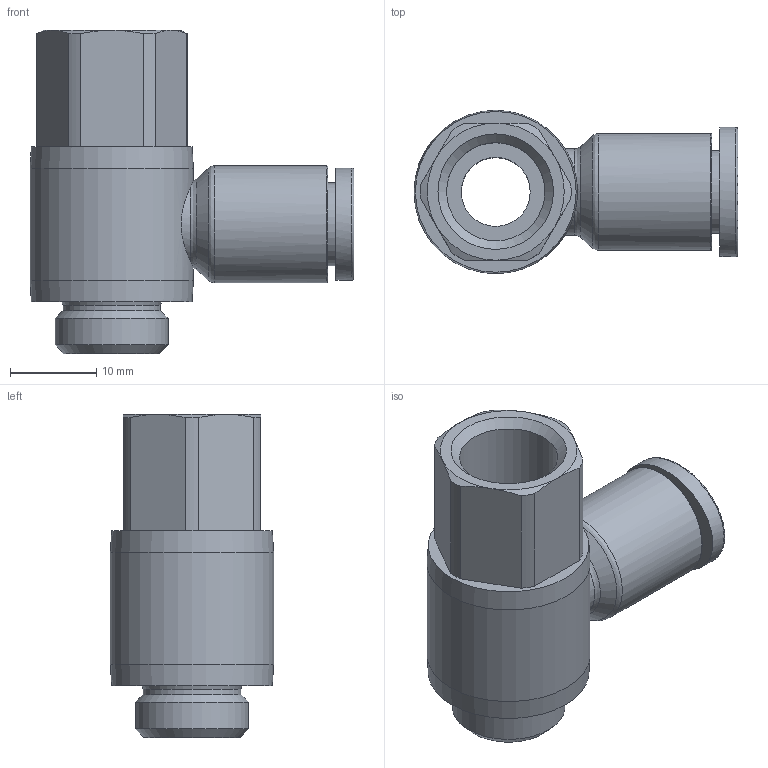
import cadquery as cq
import math

body_diameter = 18.95
body_end_diameter = 18.65
body_bottom_z = 6.0
body_top_z = 24.0
body_taper_length = 2.5

thread_diameter = 13.1
thread_tip_diameter = 11.2
thread_tip_length = 1.05
thread_top_z = 4.1
undercut_diameter = 11.3
undercut_rim_diameter = 11.6
undercut_bottom_z = 5.0
undercut_top_z = 5.6

head_top_z = 37.5
hex_sides = 6
head_across_flats = 15.9
head_corner_diameter = 17.5
head_chamfer_angle = 25.0

through_bore_diameter = 8.0
socket_diameter = 11.4
socket_bottom_z = body_top_z
socket_chamfer = 1.0

port_axis_z = (body_bottom_z + body_top_z) / 2
stub_diameter = 10.0
port_diameter = 13.55
port_cone_start_x = 9.5
port_cone_end_x = 11.5
port_blend_radius = 1.0
port_end_x = 25.05
port_end_round = 0.1
port_neck_diameter = 9.6

collar_start_x = 26.0
collar_end_x = 28.1
collar_width = 15.0
collar_height = 13.0
collar_edge_radius = 0.25


def make_barrel():
    """Spigot, undercut and body as one revolved profile (radius, height)."""
    thread_radius = thread_diameter / 2
    profile = [
        (0, 0),
        (thread_tip_diameter / 2, 0),
        (thread_radius, thread_tip_length),
        (thread_radius, thread_top_z),
        (undercut_diameter / 2, undercut_bottom_z),
        (undercut_diameter / 2, undercut_top_z),
        (undercut_rim_diameter / 2, body_bottom_z),
        (body_end_diameter / 2, body_bottom_z),
        (body_diameter / 2, body_bottom_z + body_taper_length),
        (body_diameter / 2, body_top_z - body_taper_length),
        (body_end_diameter / 2, body_top_z),
        (0, body_top_z),
    ]
    return cq.Workplane("XZ").polyline(profile).close().revolve(360, (0, 0), (0, 1))


def make_head():
    """Hexagon with two flats facing +Y and -Y, rounded corners and a chamfered top."""
    half_side_angle = math.pi / hex_sides
    hex_circumdiameter = head_across_flats / math.cos(half_side_angle)
    hexagon = (
        cq.Workplane("XY")
        .workplane(offset=body_top_z)
        .polygon(hex_sides, hex_circumdiameter)
        .extrude(head_top_z - body_top_z)
    )
    corner_radius = head_corner_diameter / 2
    chamfer_radius = head_across_flats / 2
    chamfer_drop = (corner_radius - chamfer_radius) * math.tan(math.radians(head_chamfer_angle))
    envelope_profile = [
        (0, body_top_z),
        (corner_radius, body_top_z),
        (corner_radius, head_top_z - chamfer_drop),
        (chamfer_radius, head_top_z),
        (0, head_top_z),
    ]
    envelope = cq.Workplane("XZ").polyline(envelope_profile).close().revolve(360, (0, 0), (0, 1))
    return hexagon.intersect(envelope)


def make_bores():
    """Through bore with a larger, chamfered socket in the head."""
    socket_radius = socket_diameter / 2
    profile = [
        (0, 0),
        (through_bore_diameter / 2, 0),
        (through_bore_diameter / 2, socket_bottom_z),
        (socket_radius, socket_bottom_z),
        (socket_radius, head_top_z - socket_chamfer),
        (socket_radius + socket_chamfer, head_top_z),
        (0, head_top_z),
    ]
    return cq.Workplane("XZ").polyline(profile).close().revolve(360, (0, 0), (0, 1))


def make_port():
    """Stub, cone, sleeve and neck revolved about the port axis, starting at the body axis.

    The cone is blended into the stub and the sleeve, and the sleeve end is lightly rounded.
    """
    profile = [
        (0, 0),
        (0, stub_diameter / 2),
        (port_cone_start_x, stub_diameter / 2),
        (port_cone_end_x, port_diameter / 2),
        (port_end_x, port_diameter / 2),
        (port_end_x, port_neck_diameter / 2),
        (collar_start_x, port_neck_diameter / 2),
        (collar_start_x, 0),
    ]
    port = cq.Workplane("XZ").polyline(profile).close().revolve(360, (0, 0), (1, 0))
    cone_ends = cq.selectors.BoxSelector(
        (port_cone_start_x - port_blend_radius, -port_diameter, -port_diameter),
        (port_cone_end_x + port_blend_radius, port_diameter, port_diameter),
    )
    port = port.edges(cone_ends).fillet(port_blend_radius)
    sleeve_end = cq.selectors.RadiusNthSelector(-1)
    port = port.edges("%CIRCLE").edges(sleeve_end).edges(">X").fillet(port_end_round)
    return port.translate((0, 0, port_axis_z))


def make_collar():
    """Elliptical collar with a rounded outer edge."""
    return (
        cq.Workplane("YZ", origin=(collar_start_x, 0, port_axis_z))
        .ellipse(collar_width / 2, collar_height / 2)
        .extrude(collar_end_x - collar_start_x)
        .faces(">X")
        .edges()
        .fillet(collar_edge_radius)
    )


outside = make_barrel().union(make_head()).union(make_port()).union(make_collar())
result = outside.cut(make_bores())